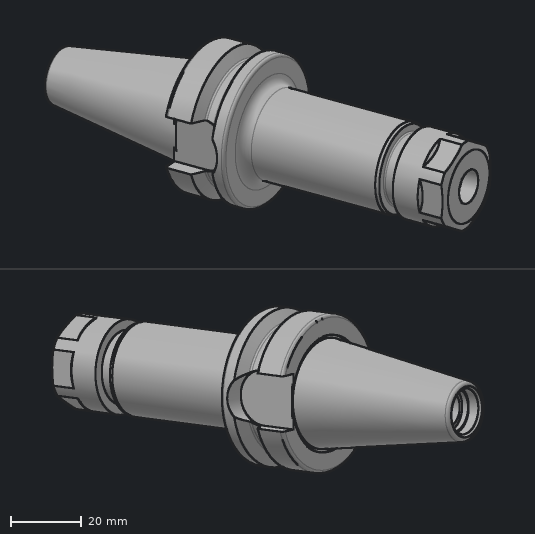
import cadquery as cq
import math

TOLERANCE = 0.01

TAPER_RATIO = 7 / 24
TAPER_LARGE_DIA = 32.0
TAPER_END_FILLET = 1.2

FLANGE_DIA = 46.0
FLANGE_START = 49.3
FLANGE_END = 70.3
FLANGE_FILLET = 1.0
FACE_RECESS_DIA = 33.8
FACE_RECESS_DEPTH = 0.5
GROOVE_DIA = 38.0
GROOVE_FLOOR_START = 60.5
GROOVE_FLOOR_END = 63.7
GROOVE_FLANK_ANGLE = 30
GROOVE_FILLET = 0.7

BODY_DIA = 27.5
BODY_END = 116.7
BODY_ROOT_FILLET = 3.3
BODY_CHAMFER_LENGTH = 1.1
BODY_CHAMFER_DROP = 0.4
SPIGOT_DIA = 21.5
SPIGOT_END = 132.9
SPIGOT_ROOT_FILLET = 0.4

SLOT_WIDTH = 16.0
SLOT_FLOOR = 16.5
SLOT_END = 68.0

THROUGH_DIA = 10.1
ENTRY_DIA = 13.1
ENTRY_DEPTH = 4.2
SEAT_DIA = 12.5
SEAT_DEPTH = 6.2
COUNTERSINK_DIA = 14.7

NUT_DIA = BODY_DIA
NUT_START = 121.5
NUT_END = 138.4
NUT_NOSE_DIA = 21.9
NUT_CHAMFER_LENGTH = 1.1
FLAT_COUNT = 6
ACROSS_FLATS = 25.5
FLAT_START = 130.0


def turned(points):
    """Solid of revolution about X from (x, radius) points, closed along the axis."""
    outline = [(points[0][0], 0)] + points + [(points[-1][0], 0)]
    return cq.Workplane("XY").polyline(outline).close().revolve(360, (0, 0, 0), (1, 0, 0))


def cylinder(diameter, start, end):
    """Cylinder on the X axis between two X positions."""
    return cq.Workplane("YZ", origin=(start, 0, 0)).circle(diameter / 2).extrude(end - start)


def round_edge(solid, x, diameter, radius):
    """Fillet the circular edge of the given diameter centred at x on the axis."""
    reach = diameter / 2 + TOLERANCE
    near_corner = (x - TOLERANCE, -reach, -reach)
    far_corner = (x + TOLERANCE, reach, reach)
    window = cq.selectors.BoxSelector(near_corner, far_corner, boundingbox=True)
    edges = [e for e in solid.edges(window).vals() if abs(e.radius() - diameter / 2) < TOLERANCE]
    return solid.newObject(edges).fillet(radius)


def holder_blank():
    taper_small_dia = TAPER_LARGE_DIA - TAPER_RATIO * (FLANGE_START + FACE_RECESS_DEPTH)
    flank_length = (FLANGE_DIA - GROOVE_DIA) / 2 * math.tan(math.radians(GROOVE_FLANK_ANGLE))
    blank = turned([
        (0, taper_small_dia / 2),
        (FLANGE_START + FACE_RECESS_DEPTH, TAPER_LARGE_DIA / 2),
        (FLANGE_START + FACE_RECESS_DEPTH, FACE_RECESS_DIA / 2),
        (FLANGE_START, FACE_RECESS_DIA / 2),
        (FLANGE_START, FLANGE_DIA / 2),
        (GROOVE_FLOOR_START - flank_length, FLANGE_DIA / 2),
        (GROOVE_FLOOR_START, GROOVE_DIA / 2),
        (GROOVE_FLOOR_END, GROOVE_DIA / 2),
        (GROOVE_FLOOR_END + flank_length, FLANGE_DIA / 2),
        (FLANGE_END, FLANGE_DIA / 2),
        (FLANGE_END, BODY_DIA / 2),
        (BODY_END - BODY_CHAMFER_LENGTH, BODY_DIA / 2),
        (BODY_END, BODY_DIA / 2 - BODY_CHAMFER_DROP),
        (BODY_END, SPIGOT_DIA / 2),
        (SPIGOT_END, SPIGOT_DIA / 2),
    ])
    rounded_edges = [
        (0, taper_small_dia, TAPER_END_FILLET),
        (FLANGE_START, FLANGE_DIA, FLANGE_FILLET),
        (GROOVE_FLOOR_START, GROOVE_DIA, GROOVE_FILLET),
        (GROOVE_FLOOR_END, GROOVE_DIA, GROOVE_FILLET),
        (FLANGE_END, FLANGE_DIA, FLANGE_FILLET),
        (FLANGE_END, BODY_DIA, BODY_ROOT_FILLET),
        (BODY_END, SPIGOT_DIA, SPIGOT_ROOT_FILLET),
    ]
    for x, diameter, radius in rounded_edges:
        blank = round_edge(blank, x, diameter, radius)
    return blank


def drive_slot(side):
    """Cutter for the round-ended slot on the +Y (side = 1) or -Y (side = -1) flank."""
    half_width = SLOT_WIDTH / 2
    arc_start = SLOT_END - half_width
    outline = (
        cq.Workplane("XZ", origin=(0, side * SLOT_FLOOR, 0))
        .moveTo(FLANGE_START, -half_width)
        .lineTo(arc_start, -half_width)
        .threePointArc((SLOT_END, 0), (arc_start, half_width))
        .lineTo(FLANGE_START, half_width)
        .close()
    )
    return outline.extrude(-side * FLANGE_DIA / 2)


def holder_bore():
    """Through bore with a countersunk, two-step entry at the small end of the taper."""
    countersink_depth = (COUNTERSINK_DIA - ENTRY_DIA) / 2
    return turned([
        (0, COUNTERSINK_DIA / 2),
        (countersink_depth, ENTRY_DIA / 2),
        (ENTRY_DEPTH, ENTRY_DIA / 2),
        (ENTRY_DEPTH, SEAT_DIA / 2),
        (SEAT_DEPTH, SEAT_DIA / 2),
        (SEAT_DEPTH, THROUGH_DIA / 2),
        (SPIGOT_END, THROUGH_DIA / 2),
    ])


def make_holder():
    holder = holder_blank()
    for side in (-1, 1):
        holder = holder.cut(drive_slot(side))
    return holder.cut(holder_bore())


def make_nut():
    blank = turned([
        (NUT_START, NUT_DIA / 2),
        (NUT_END - NUT_CHAMFER_LENGTH, NUT_DIA / 2),
        (NUT_END, NUT_NOSE_DIA / 2),
    ])

    core = turned([
        (NUT_START, NUT_DIA / 2),
        (FLAT_START, NUT_DIA / 2),
        (FLAT_START + NUT_DIA / 4, NUT_DIA / 4),
    ])
    hexagon = (
        cq.Workplane("YZ", origin=(NUT_START, 0, 0))
        .polygon(FLAT_COUNT, ACROSS_FLATS, circumscribed=True)
        .extrude(NUT_END - NUT_START)
    )
    nut = blank.intersect(core.union(hexagon))

    spigot_recess = cylinder(SPIGOT_DIA, NUT_START, SPIGOT_END)
    tool_hole = cylinder(THROUGH_DIA, SPIGOT_END, NUT_END)
    return nut.cut(spigot_recess).cut(tool_hole)


holder = make_holder()
nut = make_nut()
result = cq.Compound.makeCompound([holder.val(), nut.val()])